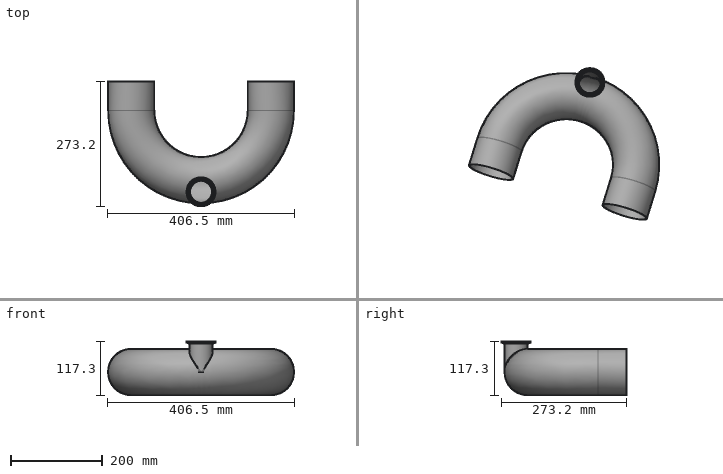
import cadquery as cq

tube_outer_dia = 101.5
tube_inner_dia = 97.5
bend_radius = 152.5
leg_length = 63.5

port_outer_dia = 51.0
port_inner_dia = 47.5
port_top = 66.5
port_y = port_outer_dia / 2 - bend_radius - tube_outer_dia / 2

flange_dia = 64.0
flange_edge = 2.5
flange_cone_height = 2.5
cone_foot_dia = 52.5
groove_mean_dia = 56.0
groove_top_width = 4.0
groove_floor_width = 3.0
groove_depth = 1.5


def u_bend(diameter):
    """Solid round bar following the two straight legs and the half-turn bend."""
    path = (
        cq.Workplane("XY")
        .moveTo(-bend_radius, leg_length)
        .lineTo(-bend_radius, 0)
        .threePointArc((0, -bend_radius), (bend_radius, 0))
        .lineTo(bend_radius, leg_length)
    )
    leg_end = cq.Workplane("XZ", origin=(-bend_radius, leg_length, 0))
    return leg_end.circle(diameter / 2).sweep(path)


def port_cylinder(diameter):
    """Upright cylinder from the tube centre plane to the ferrule face."""
    return cq.Workplane("XY").center(0, port_y).circle(diameter / 2).extrude(port_top)


def spin_about_port(profile_points):
    """Revolve a closed (radius, height) outline about the port axis."""
    profile = cq.Workplane("XZ", origin=(0, port_y, 0)).polyline(profile_points).close()
    return profile.revolve(360, (0, 0, 0), (0, 1, 0))


def ferrule_flange():
    """Disc with a vertical rim and a conical underside that stops just proud of the port."""
    rim_bottom = port_top - flange_edge
    cone_bottom = rim_bottom - flange_cone_height
    return spin_about_port([
        (0, port_top),
        (flange_dia / 2, port_top),
        (flange_dia / 2, rim_bottom),
        (cone_foot_dia / 2, cone_bottom),
        (0, cone_bottom),
    ])


def gasket_groove():
    """Ring with sloping sides, sunk into the ferrule face."""
    middle = groove_mean_dia / 2
    floor = port_top - groove_depth
    return spin_about_port([
        (middle - groove_top_width / 2, port_top),
        (middle + groove_top_width / 2, port_top),
        (middle + groove_floor_width / 2, floor),
        (middle - groove_floor_width / 2, floor),
    ])


outside = u_bend(tube_outer_dia).union(port_cylinder(port_outer_dia)).union(ferrule_flange())

result = (
    outside
    .cut(u_bend(tube_inner_dia))
    .cut(port_cylinder(port_inner_dia))
    .cut(gasket_groove())
)